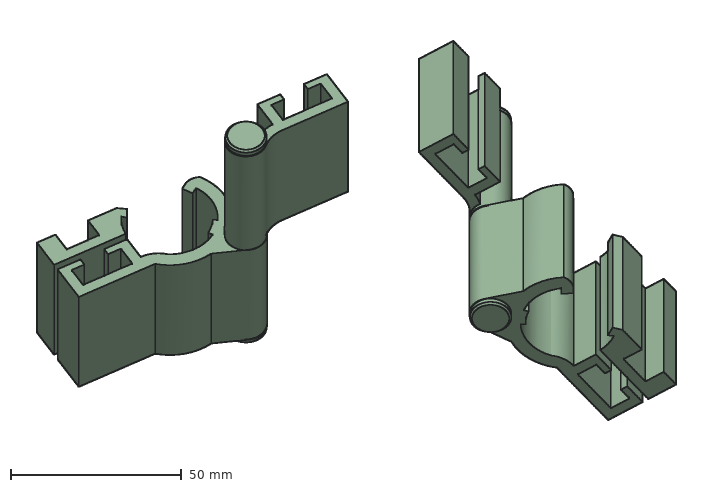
import cadquery as cq
import math


leaf_height = 40.0
leaf_gap = 1.6
cap_height = 2.0
cap_chamfer = 0.6
upper_leaf_bottom = leaf_height + leaf_gap
upper_leaf_top = upper_leaf_bottom + leaf_height

knuckle_center = (16.55, 16.1)
knuckle_radius = 6.22
pin_center = (16.4, 16.2)
boss_radius = 6.3
cap_radius = 6.1

channel_width = 12.4
channel_length = 23.6
channel_wall = 3.4
lip_thickness = 2.3
lip_length = 7.8
total_length = 88.25
profile_bottom = -38.6
lower_channel_left = 0.8
lower_channel_right = lower_channel_left + channel_width
lower_channel_top = profile_bottom + channel_length
upper_channel_left = 5.9
upper_channel_right = upper_channel_left + channel_width
upper_channel_bottom = profile_bottom + total_length - channel_length

neck_start_y = 27.4

bore_radius = 14.0
ring_radius = 18.4
pad_radius = 12.5
pad_start_angle = 57.0
pad_end_angle = 33.0
web_start_angle = 79.5
web_end_angle = 11.0
arm_end_angle = 121.5
arm_nose = (-10.15, 13.15)
arm_nose_end = (-9.6, 10.9)
arm_tip_outer = (-8.2, 8.8)
arm_tip_inner = (-5.1, 10.6)
hook_root_angle = 117.0
bend_start_angle = -33.0
bend_middle = (9.8, -10.4)
bend_end_x = 8.7

jaw_left = -11.3
jaw_right = -1.2
jaw_bore_radius = 14.4
jaw_shoulder_y = -11.6
jaw_tip_outer = (-9.4, -9.1)
jaw_tip_inner = (-6.5, -10.85)
jaw_root_x = -7.8
jaw_slot_floor_x = -4.7
jaw_slot_bottom = -32.3
jaw_slot_top = -21.3


def polar(radius, degrees):
    """Point on a circle around the bore axis."""
    angle = math.radians(degrees)
    return (radius * math.cos(angle), radius * math.sin(angle))


def tangent_point(start, center, radius, side):
    """Touching point of a line from start to a circle; side +1 or -1 picks the line."""
    dx = start[0] - center[0]
    dy = start[1] - center[1]
    angle = math.atan2(dy, dx) + side * math.acos(radius / math.hypot(dx, dy))
    return (center[0] + radius * math.cos(angle), center[1] + radius * math.sin(angle))


def make_cylinder(center, radius, bottom, top):
    return cq.Workplane("XY", origin=(0, 0, bottom)).center(*center).circle(radius).extrude(top - bottom)


def make_channel(left, front, bottom):
    """C-shaped channel that opens toward -X."""
    block = cq.Workplane("XY", origin=(left, front, bottom)).rect(
        channel_width, channel_length, centered=False
    ).extrude(leaf_height)
    cavity = cq.Workplane("XY", origin=(left + lip_thickness, front + channel_wall, bottom)).rect(
        channel_width - channel_wall - lip_thickness, channel_length - 2 * channel_wall, centered=False
    ).extrude(leaf_height)
    mouth = cq.Workplane("XY", origin=(left, front + lip_length, bottom)).rect(
        lip_thickness, channel_length - 2 * lip_length, centered=False
    ).extrude(leaf_height)
    return block.cut(cavity).cut(mouth)


def make_neck():
    """Curved wall that runs tangent from the channel's outer face into the knuckle."""
    offset_x = upper_channel_right - knuckle_center[0]
    offset_y = neck_start_y - knuckle_center[1]
    outer_radius = (offset_x**2 + offset_y**2 - knuckle_radius**2) / (2 * (knuckle_radius - offset_x))
    inner_radius = outer_radius + channel_wall
    center = (upper_channel_right + outer_radius, neck_start_y)
    end_angle = math.atan2(knuckle_center[1] - center[1], knuckle_center[0] - center[0]) % (2 * math.pi)
    middle_angle = (math.pi + end_angle) / 2

    def neck_point(radius, angle):
        return (center[0] + radius * math.cos(angle), center[1] + radius * math.sin(angle))

    return (
        cq.Workplane("XY", origin=(0, 0, upper_leaf_bottom))
        .moveTo(*neck_point(outer_radius, math.pi))
        .threePointArc(neck_point(outer_radius, middle_angle), neck_point(outer_radius, end_angle))
        .lineTo(*neck_point(inner_radius, end_angle))
        .threePointArc(neck_point(inner_radius, middle_angle), neck_point(inner_radius, math.pi))
        .close()
        .extrude(leaf_height)
    )


def make_clamp_ring():
    """Open ring with a hooked arm, an inner pad, a hinge boss and a bend into the channel."""
    web_start = polar(ring_radius, web_start_angle)
    web_end = polar(ring_radius, web_end_angle)
    boss_start = tangent_point(web_start, pin_center, boss_radius, -1)
    boss_end = tangent_point(web_end, pin_center, boss_radius, 1)
    pin_distance = math.hypot(*pin_center)
    boss_scale = 1 + boss_radius / pin_distance
    boss_outermost = (pin_center[0] * boss_scale, pin_center[1] * boss_scale)
    ring_end_angle = -math.degrees(math.acos(lower_channel_right / ring_radius))
    return (
        cq.Workplane("XY")
        .moveTo(*polar(ring_radius, arm_end_angle))
        .threePointArc(polar(ring_radius, (arm_end_angle + web_start_angle) / 2), web_start)
        .lineTo(*boss_start)
        .threePointArc(boss_outermost, boss_end)
        .lineTo(*web_end)
        .threePointArc(
            polar(ring_radius, (web_end_angle + ring_end_angle) / 2), polar(ring_radius, ring_end_angle)
        )
        .lineTo(lower_channel_right, lower_channel_top)
        .lineTo(bend_end_x, lower_channel_top)
        .threePointArc(bend_middle, polar(bore_radius, bend_start_angle))
        .threePointArc(
            polar(bore_radius, (bend_start_angle + pad_end_angle) / 2), polar(bore_radius, pad_end_angle)
        )
        .lineTo(*polar(pad_radius, pad_end_angle))
        .threePointArc(
            polar(pad_radius, (pad_start_angle + pad_end_angle) / 2), polar(pad_radius, pad_start_angle)
        )
        .lineTo(*polar(bore_radius, pad_start_angle))
        .threePointArc(
            polar(bore_radius, (pad_start_angle + hook_root_angle) / 2), polar(bore_radius, hook_root_angle)
        )
        .lineTo(*arm_tip_inner)
        .lineTo(*arm_tip_outer)
        .lineTo(*arm_nose_end)
        .threePointArc(arm_nose, polar(ring_radius, arm_end_angle))
        .close()
        .extrude(leaf_height)
    )


def make_hinge():
    """Upper leaf, knuckle, pin caps and lower clamp leaf as one piece."""
    top_cap = make_cylinder(pin_center, cap_radius, upper_leaf_top, upper_leaf_top + cap_height)
    bottom_cap = make_cylinder(pin_center, cap_radius, -cap_height, 0)
    return (
        make_clamp_ring()
        .union(make_channel(lower_channel_left, profile_bottom, 0))
        .union(make_cylinder(knuckle_center, knuckle_radius, leaf_height, upper_leaf_top))
        .union(make_neck())
        .union(make_channel(upper_channel_left, upper_channel_bottom, upper_leaf_bottom))
        .union(top_cap.faces(">Z").edges().chamfer(cap_chamfer))
        .union(bottom_cap.faces("<Z").edges().chamfer(cap_chamfer))
    )


def make_jaw():
    """Slotted bar with a hooked, hollow-ground end that faces the bore."""
    right_angle = -math.degrees(math.acos(jaw_right / jaw_bore_radius))
    root_angle = -math.degrees(math.acos(jaw_root_x / jaw_bore_radius))
    return (
        cq.Workplane("XY")
        .moveTo(jaw_left, profile_bottom)
        .lineTo(jaw_right, profile_bottom)
        .lineTo(*polar(jaw_bore_radius, right_angle))
        .threePointArc(
            polar(jaw_bore_radius, (right_angle + root_angle) / 2), polar(jaw_bore_radius, root_angle)
        )
        .lineTo(*jaw_tip_inner)
        .lineTo(*jaw_tip_outer)
        .lineTo(jaw_left, jaw_shoulder_y)
        .lineTo(jaw_left, jaw_slot_top)
        .lineTo(jaw_slot_floor_x, jaw_slot_top)
        .lineTo(jaw_slot_floor_x, jaw_slot_bottom)
        .lineTo(jaw_left, jaw_slot_bottom)
        .close()
        .extrude(leaf_height)
    )


hinge = make_hinge()
jaw = make_jaw()
result = cq.Compound.makeCompound([hinge.val(), jaw.val()])